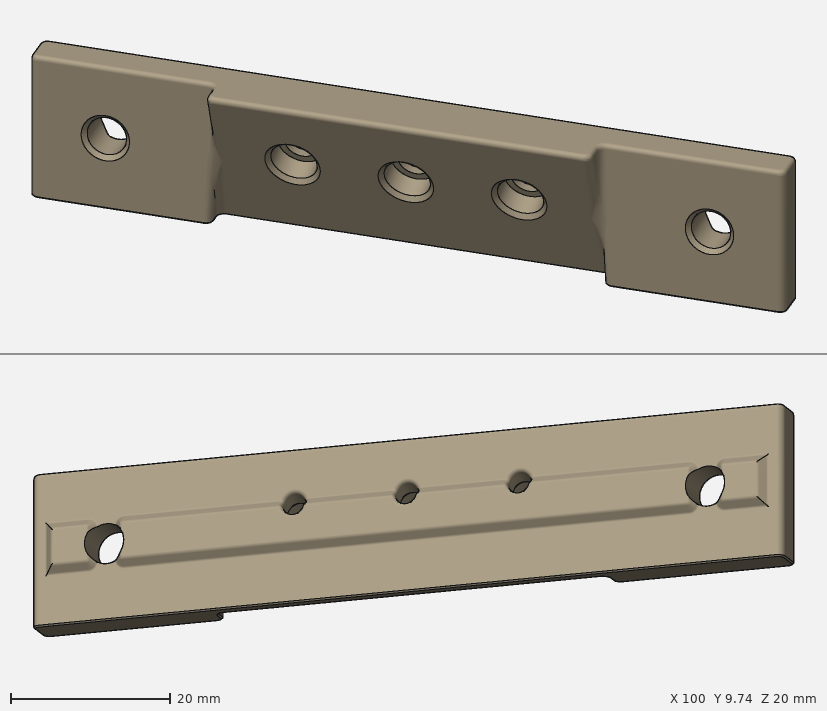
import cadquery as cq
import math

length = 100.0
height = 20.0
thickness = 5.0
corner_radius = 1.0
top_radius = 0.6
bottom_chamfer = 0.2
mid_z = height / 2

seat_width = 51.0
seat_overhang = 4.0
seat_angle = 20.0
seat_flare = 0.5
seat_radius = 1.0
half_seat = seat_width / 2
seat_slope = math.tan(math.radians(seat_angle))
crossing_z = height - seat_overhang / seat_slope

rail_length = 96.0
rail_width = 6.7
rail_height = 1.0
rail_gap = 2.4
rail_gap_corner_radius = 1.2
rail_top_radius = 0.6
rail_root_radius = 0.4

mount_spacing = 80.0
mount_diameter = 5.2

screw_pitch = 15.0
screw_diameter = 3.0
head_diameter = 6.1
head_depth = 3.5
screw_mouth_z = 10.7
screw_exit_radius = 0.5

hole_chamfer = 0.6
overrun = 10.0
tolerance = 0.01


def seat_y(z):
    """Y of the inclined seat at height z."""
    return seat_slope * (height - z) - seat_overhang


def seat_prism(end_y):
    """Space between the inclined seat and the plane y = end_y, within the seat's outline."""
    section = [(end_y, 0), (seat_y(0), 0), (seat_y(height), height), (end_y, height)]
    half_foot = half_seat + seat_flare
    outline = [
        (-half_foot, 0),
        (-half_seat, crossing_z),
        (-half_seat, height),
        (half_seat, height),
        (half_seat, crossing_z),
        (half_foot, 0),
    ]
    wedge = cq.Workplane("YZ").polyline(section).close().extrude(length / 2, both=True)
    column = cq.Workplane("XZ").polyline(outline).close().extrude(2 * overrun, both=True)
    return wedge.intersect(column)


def is_seat_side(edge):
    """True for the edges along the seat ends that climb from bottom to top."""
    start = edge.startPoint()
    end = edge.endPoint()
    low = half_seat - tolerance
    high = half_seat + seat_flare + tolerance
    same_side = start.x * end.x > 0
    climbs = abs(start.z - end.z) > 1
    return same_side and climbs and all(low < abs(point.x) < high for point in (start, end))


def make_body():
    """Plate with the inclined seat and all its rounded edges."""
    body = cq.Workplane("XY").box(length, thickness, height, centered=(True, False, False))
    body = body.cut(seat_prism(-overrun)).union(seat_prism(thickness))
    body = body.edges("|Z and (<X or >X)").fillet(corner_radius)
    seat_sides = [edge for edge in body.edges().vals() if is_seat_side(edge)]
    body = body.newObject(seat_sides).fillet(seat_radius)
    body = body.faces(">Z").edges().fillet(top_radius)
    return body.faces("<Z").edges().chamfer(bottom_chamfer)


def make_rail_segment(x_start, x_end, gap_ends):
    """Rail piece with 45 degree flanks; gap_ends selects the ends with rounded corners."""
    root = rail_height
    return (
        cq.Workplane("XZ", origin=((x_start + x_end) / 2, thickness - root, mid_z))
        .rect(x_end - x_start, rail_width)
        .extrude(-root - rail_height)
        .edges(f"|Y and ({gap_ends})")
        .fillet(rail_gap_corner_radius)
        .faces(">Y")
        .chamfer(rail_height)
        .faces(">Y")
        .edges()
        .fillet(rail_top_radius)
    )


def turned_cutter(profile):
    """Revolve (radius, depth) points around the Y axis, depth running toward +Y."""
    return cq.Workplane("XY").polyline(profile).close().revolve(360, (0, 0, 0), (0, 1, 0))


def make_mount_cutter(x):
    """Through hole chamfered at the front face."""
    hole_radius = mount_diameter / 2
    profile = [
        (0, 0),
        (hole_radius + hole_chamfer, 0),
        (hole_radius, hole_chamfer),
        (hole_radius, overrun),
        (0, overrun),
    ]
    return turned_cutter(profile).translate((x, 0, mid_z))


def make_screw_cutter(x):
    """Counterbored through hole square to the seat, chamfered at each step."""
    hole_radius = screw_diameter / 2
    head_radius = head_diameter / 2
    profile = [
        (0, 0),
        (head_radius + hole_chamfer, 0),
        (head_radius, hole_chamfer),
        (head_radius, head_depth),
        (hole_radius + hole_chamfer, head_depth),
        (hole_radius, head_depth + hole_chamfer),
        (hole_radius, overrun),
        (0, overrun),
    ]
    tilted = turned_cutter(profile).rotate((0, 0, 0), (1, 0, 0), seat_angle)
    return tilted.translate((x, seat_y(screw_mouth_z), screw_mouth_z))


def is_screw_exit(edge):
    """True for the rear rim edges of the screw holes."""
    box = edge.BoundingBox()
    reach = screw_diameter / 2 + tolerance
    at_rear = box.ymin > thickness - tolerance
    around_hole = any(x - reach < box.xmin and box.xmax < x + reach for x in screw_places)
    return at_rear and around_hole


rail_end = rail_length / 2
gap_inner = mount_spacing / 2 - rail_gap / 2
gap_outer = mount_spacing / 2 + rail_gap / 2
mount_places = (-mount_spacing / 2, mount_spacing / 2)
screw_places = (-screw_pitch, 0, screw_pitch)

result = make_body()
result = result.union(make_rail_segment(-rail_end, -gap_outer, ">X"))
result = result.union(make_rail_segment(-gap_inner, gap_inner, "<X or >X"))
result = result.union(make_rail_segment(gap_outer, rail_end, "<X"))

rail_foot = cq.selectors.BoxSelector(
    (-rail_end - tolerance, thickness - tolerance, mid_z - rail_width / 2 - tolerance),
    (rail_end + tolerance, thickness + tolerance, mid_z + rail_width / 2 + tolerance),
    boundingbox=True,
)
result = result.edges(rail_foot).fillet(rail_root_radius)

for place in mount_places:
    result = result.cut(make_mount_cutter(place))
for place in screw_places:
    result = result.cut(make_screw_cutter(place))

screw_exits = [edge for edge in result.edges().vals() if is_screw_exit(edge)]
result = result.newObject(screw_exits).fillet(screw_exit_radius)